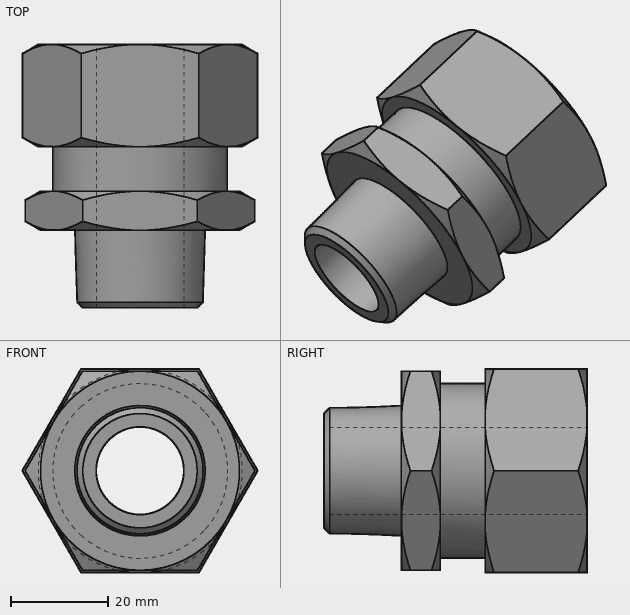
import cadquery as cq
import math

tip_chamfer_end = 1.2
gauge_plane = 9.55
body_hex_front = 16.0
body_hex_back = 24.05
nut_front = 33.2
total_length = 54.25

nut_across_flats = 42.0
body_hex_across_flats = 41.0
collar_diameter = 36.0
bore_diameter = 18.0
tip_diameter = 23.55
gauge_diameter = 26.45
taper_ratio = 1 / 16
hex_chamfer_angle = 30.0


def revolve_profile(points):
    """Revolve (radius, y) points about the Y axis."""
    return cq.Workplane("XY").polyline(points).close().revolve(360, (0, 0), (0, 1))


def chamfered_hex(across_flats, start, end, chamfer_radius):
    """Hexagon along Y, corners on X, with both ends turned to a cone."""
    corner_radius = across_flats / math.sqrt(3)
    chamfer_depth = (corner_radius - chamfer_radius) * math.tan(math.radians(hex_chamfer_angle))
    prism = (
        cq.Workplane("XZ", origin=(0, end, 0))
        .polygon(6, 2 * corner_radius)
        .extrude(end - start)
    )
    envelope = revolve_profile([
        (0, start),
        (chamfer_radius, start),
        (corner_radius, start + chamfer_depth),
        (corner_radius, end - chamfer_depth),
        (chamfer_radius, end),
        (0, end),
    ])
    return prism.intersect(envelope)


def taper_radius(y):
    return (gauge_diameter + (y - gauge_plane) * taper_ratio) / 2


male_end = revolve_profile([
    (0, 0),
    (tip_diameter / 2, 0),
    (taper_radius(tip_chamfer_end), tip_chamfer_end),
    (taper_radius(body_hex_front), body_hex_front),
    (0, body_hex_front),
])

body_hex = chamfered_hex(
    body_hex_across_flats, body_hex_front, body_hex_back, body_hex_across_flats / 2
)
collar = (
    cq.Workplane("XZ", origin=(0, nut_front, 0))
    .circle(collar_diameter / 2)
    .extrude(nut_front - body_hex_back)
)
nut = chamfered_hex(nut_across_flats, nut_front, total_length, nut_across_flats / 2)

bore = (
    cq.Workplane("XZ", origin=(0, total_length, 0))
    .circle(bore_diameter / 2)
    .extrude(total_length)
)

result = male_end.union(body_hex).union(collar).union(nut).cut(bore)